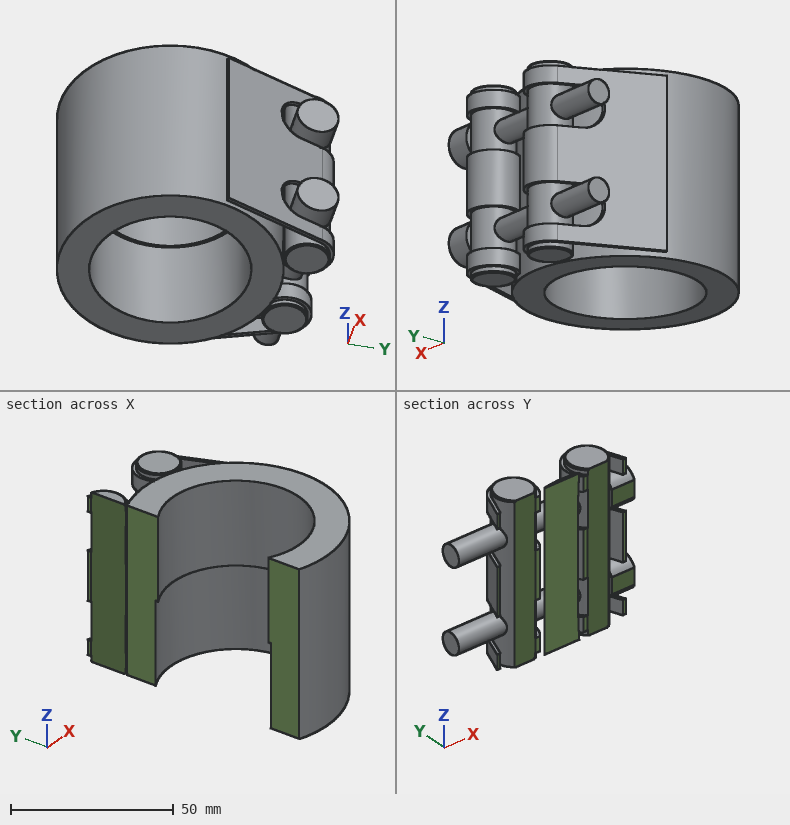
import cadquery as cq
import math

RING_RADIUS = 34.9
HEIGHT = 61.0
BORE_DIAMETER = 48.3
COUNTERBORE_DIAMETER = 50.0
COUNTERBORE_DEPTH = HEIGHT / 2

PIN_RADIUS = 14.0 / 2
PIN_X = 14.5
PIN_Y = 39.8
PIN_CHAMFER = 0.4

STRAP_THICKNESS = 1.2
STRAP_HEIGHT = 57.0
STRAP_OVERRUN = 3.1
SLOT_WIDTH = 13.9
SLOT_REACH = 11.2

BOLT_DIAMETER = 8.0
BOLT_TIP_X = -39.3
HEAD_DIAMETER = 13.0
HEAD_START_X = 19.8
HEAD_END_X = 28.9
BOLT_SPACING = 32.0
BOLT_LEVELS = [(HEIGHT + side * BOLT_SPACING) / 2 for side in (-1, 1)]


def polar(center, radius, angle):
    """Point at a radius and angle (radians) around a center."""
    return (center[0] + radius * math.cos(angle), center[1] + radius * math.sin(angle))


def make_ring():
    ring = cq.Workplane("XY").circle(RING_RADIUS).circle(BORE_DIAMETER / 2).extrude(HEIGHT)
    counterbore = cq.Workplane("XY").circle(COUNTERBORE_DIAMETER / 2).extrude(COUNTERBORE_DEPTH)
    return ring.cut(counterbore)


def make_left_strap():
    """Strap whose inner face follows the common tangent of ring and left pin, then wraps the pin."""
    pin_center = (-PIN_X, PIN_Y)
    pin_distance = math.hypot(PIN_X, PIN_Y)
    pin_direction = math.atan2(PIN_Y, -PIN_X)
    normal = pin_direction + math.acos((RING_RADIUS - PIN_RADIUS) / pin_distance)
    wrap_end = pin_direction - math.pi
    wrap_middle = (normal + wrap_end) / 2
    outer_radius = PIN_RADIUS + STRAP_THICKNESS

    inner_tip = polar(polar((0, 0), RING_RADIUS, normal), STRAP_OVERRUN, normal + math.pi / 2)
    outer_tip = polar(inner_tip, STRAP_THICKNESS, normal)
    return (
        cq.Workplane("XY", origin=(0, 0, (HEIGHT - STRAP_HEIGHT) / 2))
        .moveTo(*inner_tip)
        .lineTo(*polar(pin_center, PIN_RADIUS, normal))
        .threePointArc(polar(pin_center, PIN_RADIUS, wrap_middle), polar(pin_center, PIN_RADIUS, wrap_end))
        .lineTo(*polar(pin_center, outer_radius, wrap_end))
        .threePointArc(polar(pin_center, outer_radius, wrap_middle), polar(pin_center, outer_radius, normal))
        .lineTo(*outer_tip)
        .close()
        .extrude(STRAP_HEIGHT)
    )


def make_bolt_slot(level):
    """Cutter along X for one bolt: open at the top of the loop, rounded toward the ring."""
    slot_radius = SLOT_WIDTH / 2
    round_center_y = PIN_Y - SLOT_REACH + slot_radius
    open_end_y = PIN_Y + PIN_RADIUS + 2 * STRAP_THICKNESS
    return (
        cq.Workplane("YZ")
        .moveTo(open_end_y, level - slot_radius)
        .lineTo(round_center_y, level - slot_radius)
        .threePointArc((PIN_Y - SLOT_REACH, level), (round_center_y, level + slot_radius))
        .lineTo(open_end_y, level + slot_radius)
        .close()
        .extrude(RING_RADIUS, both=True)
    )


def make_housing():
    left_strap = make_left_strap()
    straps = left_strap.add(left_strap.mirror("YZ")).combine()
    for level in BOLT_LEVELS:
        straps = straps.cut(make_bolt_slot(level))
    return make_ring().union(straps)


def make_pin(x):
    pin = cq.Workplane("XY").center(x, PIN_Y).circle(PIN_RADIUS).extrude(HEIGHT)
    return pin.faces("<Z or >Z").edges().chamfer(PIN_CHAMFER)


def make_bolt(level):
    shank = (
        cq.Workplane("YZ", origin=(BOLT_TIP_X, PIN_Y, level))
        .circle(BOLT_DIAMETER / 2)
        .extrude(HEAD_END_X - BOLT_TIP_X)
    )
    head = (
        cq.Workplane("YZ", origin=(HEAD_START_X, PIN_Y, level))
        .circle(HEAD_DIAMETER / 2)
        .extrude(HEAD_END_X - HEAD_START_X)
    )
    return shank.union(head)


def make_fastener():
    """Two pins joined into one body by the bolts that cross them."""
    fastener = make_pin(-PIN_X).union(make_pin(PIN_X))
    for level in BOLT_LEVELS:
        fastener = fastener.union(make_bolt(level))
    return fastener


housing = make_housing()
fastener = make_fastener()

result = cq.Compound.makeCompound([housing.val(), fastener.val()])